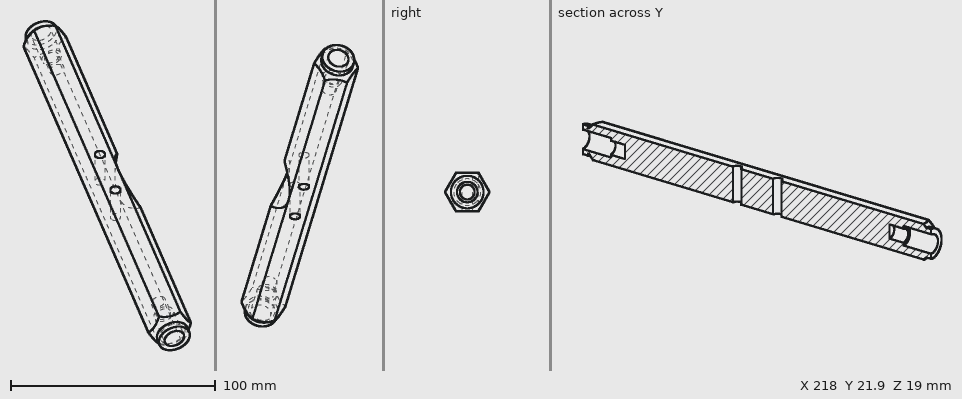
import cadquery as cq
import math

length = 218.0
across_flats = 19.0
across_corners = across_flats / math.cos(math.pi / 6)
half_length = length / 2
corner_radius = across_corners / 2

collar_radius = 16.0 / 2
collar_length = 3.3
left_cone_length = corner_radius - collar_radius
right_cone_small_radius = 6.5
right_cone_length = corner_radius - right_cone_small_radius

mouth_diameter = 10.0
mouth_depth = 17.5
bore_diameter = 7.2
bore_depth = 26.2

cross_hole_diameter = 5.0
cross_hole_spacing = 25.3
scallop_half_width = 19.2
scallop_depth = corner_radius / 2
scallop_radius = (scallop_half_width**2 + scallop_depth**2) / (2 * scallop_depth)


def hexagonal_bar():
    bar = cq.Workplane("YZ").polygon(6, across_corners).extrude(length)
    return bar.translate((-half_length, 0, 0))


def turned_envelope():
    """Solid of revolution that shapes the collars and the 45 degree cones."""
    left_collar_end = -half_length + collar_length
    right_collar_start = half_length - collar_length
    profile = [
        (-half_length, 0),
        (-half_length, collar_radius),
        (left_collar_end, collar_radius),
        (left_collar_end + left_cone_length, corner_radius),
        (right_collar_start - right_cone_length, corner_radius),
        (right_collar_start, right_cone_small_radius),
        (right_collar_start, collar_radius),
        (half_length, collar_radius),
        (half_length, 0),
    ]
    return cq.Workplane("XY").polyline(profile).close().revolve(360, (0, 0, 0), (1, 0, 0))


def end_bore():
    """Stepped bore opening at the -X end."""
    start = cq.Workplane("YZ", origin=(-half_length, 0, 0))
    mouth = start.circle(mouth_diameter / 2).extrude(mouth_depth)
    return mouth.union(start.circle(bore_diameter / 2).extrude(bore_depth))


def cross_holes():
    centres = [(-cross_hole_spacing / 2, 0), (cross_hole_spacing / 2, 0)]
    holes = cq.Workplane("XY").pushPoints(centres)
    return holes.circle(cross_hole_diameter / 2).extrude(across_flats, both=True)


def scallop():
    """Shallow arc cut into the +Y ridge, just reaching the edge of the top flat."""
    centre_y = corner_radius - scallop_depth + scallop_radius
    cutter = cq.Workplane("XY").center(0, centre_y).circle(scallop_radius)
    return cutter.extrude(across_flats, both=True)


result = hexagonal_bar().intersect(turned_envelope())
result = result.cut(end_bore()).cut(end_bore().mirror("YZ"))
result = result.cut(cross_holes()).cut(scallop())